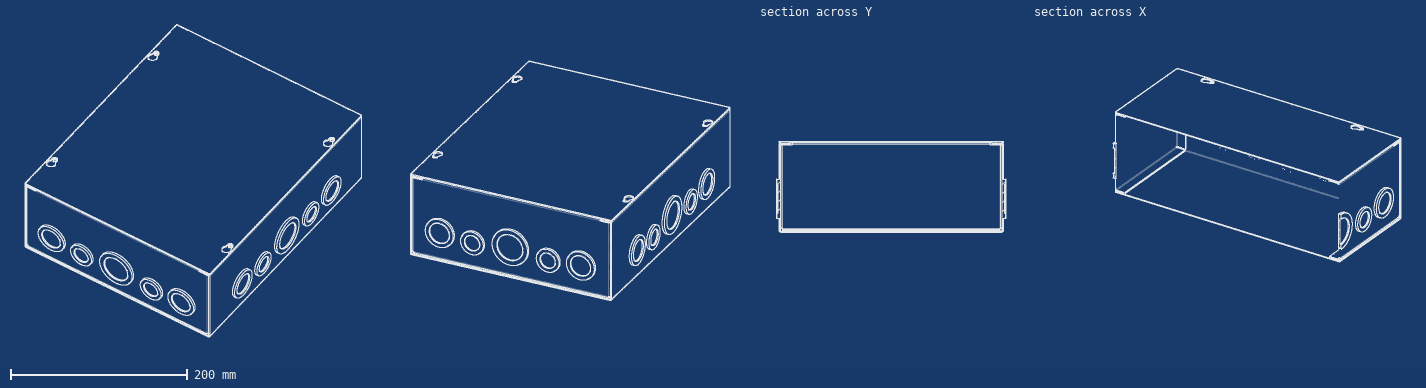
import cadquery as cq

SHEET = 1.5
BEND = 2.2
INNER_BEND = BEND - SHEET

BUMP_HEIGHT = 2.95
WIDTH = 260.0 - 2 * BUMP_HEIGHT
LENGTH = 310.7 - 2 * BUMP_HEIGHT
HEIGHT = 103.2
BOX_TOP = HEIGHT - SHEET

FLANGE = 13.0
CAP_FLANGE = 13.0
CAP_LIFT = 0.5
NOTCH_SIDE_GAP = 1.5
NOTCH_LOWER_GAP = 1.0

BIG = (0, 0, 44.7, 32.5)
MEDIUM_OFFSET, MEDIUM_DROP = 89.2, 2.65
SMALL_OFFSET, SMALL_DROP = 48.0, 5.5
MEDIUM_DIAMETERS = (35.5, 25.5)
SMALL_DIAMETERS = (29.0, 19.3)
KNOCKOUTS = [BIG]
for side in (-1, 1):
    KNOCKOUTS.append((side * MEDIUM_OFFSET, MEDIUM_DROP, *MEDIUM_DIAMETERS))
    KNOCKOUTS.append((side * SMALL_OFFSET, SMALL_DROP, *SMALL_DIAMETERS))
KNOCKOUT_RECESS = 1.5
WRAPPER_KNOCKOUT_Z = 38.0
CAP_KNOCKOUT_Z = 39.8

SCREW_X = WIDTH / 2 - FLANGE / 2
SCREW_Y = 102.0
SCREW_HOLE = 4.0
KEYHOLE_SLOT = 6.2
KEYHOLE_ROUND = 10.5
KEYHOLE_LENGTH = 7.5
SCREW_POINTS = [(x, y) for x in (-SCREW_X, SCREW_X) for y in (-SCREW_Y, SCREW_Y)]


def box(x_range, y_range, z_range):
    """Block between the given limits along each axis."""
    sizes = [high - low for low, high in (x_range, y_range, z_range)]
    corner = (x_range[0], y_range[0], z_range[0])
    return cq.Workplane("XY").box(*sizes, centered=False).translate(corner)


def add_knockouts(panel, normal, along, face_distance, row_z):
    """Raise a row of recessed round knockouts on the panel whose outer face looks along `normal`."""
    def plane(offset, drop, distance):
        origin = cq.Vector(*normal) * distance + cq.Vector(*along) * offset + cq.Vector(0, 0, row_z - drop)
        return cq.Workplane(cq.Plane(origin.toTuple(), along, normal))

    outer_distance = face_distance + BUMP_HEIGHT
    for offset, drop, outer, inner in KNOCKOUTS:
        disc = plane(offset, drop, face_distance - SHEET / 2).circle(outer / 2).extrude(BUMP_HEIGHT + SHEET / 2)
        recess = plane(offset, drop, outer_distance).circle(inner / 2).extrude(-KNOCKOUT_RECESS)
        panel = panel.union(disc).cut(recess)
    return panel


def make_wrapper():
    """Bottom and both long sides bent from one sheet, with flanges turned in at the top."""
    half = WIDTH / 2
    length_range = (-LENGTH / 2, LENGTH / 2)
    outside = box((-half, half), length_range, (0, BOX_TOP)).edges("|Y").fillet(BEND)
    inside = box((SHEET - half, half - SHEET), length_range, (SHEET, BOX_TOP - SHEET))
    inside = inside.edges("|Y").fillet(INNER_BEND)
    opening = box((FLANGE - half, half - FLANGE), length_range, (BOX_TOP / 2, BOX_TOP))
    wrapper = outside.cut(inside).cut(opening)
    screw_holes = (
        cq.Workplane("XY").workplane(offset=BOX_TOP).pushPoints(SCREW_POINTS)
        .circle(SCREW_HOLE / 2).extrude(-SHEET)
    )
    wrapper = wrapper.cut(screw_holes)
    for side in (-1, 1):
        wrapper = add_knockouts(wrapper, (side, 0, 0), (0, 1, 0), half, WRAPPER_KNOCKOUT_Z)
    return wrapper


def make_end_cap(side):
    """Pan that closes one end (side -1 at the front, 1 at the rear), flanges pointing into the box."""
    half = WIDTH / 2 - SHEET
    face = LENGTH / 2
    bottom = SHEET + CAP_LIFT
    depth_range = (face - CAP_FLANGE, face)
    outside = box((-half, half), depth_range, (bottom, BOX_TOP)).edges(">Y").fillet(BEND)
    hollow = box(
        (SHEET - half, half - SHEET), (face - CAP_FLANGE, face - SHEET), (bottom + SHEET, BOX_TOP - SHEET)
    ).edges(">Y").fillet(INNER_BEND)
    cap = outside.cut(hollow)

    notch_x = WIDTH / 2 - FLANGE - NOTCH_SIDE_GAP
    notch_z = BOX_TOP - SHEET - NOTCH_LOWER_GAP
    for end in (-1, 1):
        relief_x = sorted((end * half, end * (half - BEND)))
        cap = cap.cut(box(relief_x, depth_range, (bottom, bottom + BEND)))
        clear_x = sorted((end * half, end * notch_x))
        cap = cap.cut(box(clear_x, depth_range, (notch_z, BOX_TOP)))

    cap = add_knockouts(cap, (0, 1, 0), (1, 0, 0), face, CAP_KNOCKOUT_Z)
    if side < 0:
        cap = cap.mirror("XZ")
    return cap


def make_cover():
    """Flat lid with four keyholes that drop over the screw heads."""
    cover = cq.Workplane("XY").box(WIDTH, LENGTH, SHEET, centered=(True, True, False))
    round_points = [(x, y - KEYHOLE_LENGTH) for x, y in SCREW_POINTS]
    slot_points = [(x, y - KEYHOLE_LENGTH / 2) for x, y in SCREW_POINTS]
    slots = (
        cq.Workplane("XY").pushPoints(slot_points)
        .slot2D(KEYHOLE_LENGTH + KEYHOLE_SLOT, KEYHOLE_SLOT, 90).extrude(SHEET)
    )
    rounds = cq.Workplane("XY").pushPoints(round_points).circle(KEYHOLE_ROUND / 2).extrude(SHEET)
    return cover.cut(slots).cut(rounds).translate((0, 0, BOX_TOP))


wrapper = make_wrapper()
end_caps = [make_end_cap(side) for side in (-1, 1)]
cover = make_cover()

result = cq.Compound.makeCompound([wrapper.val(), *[cap.val() for cap in end_caps], cover.val()])